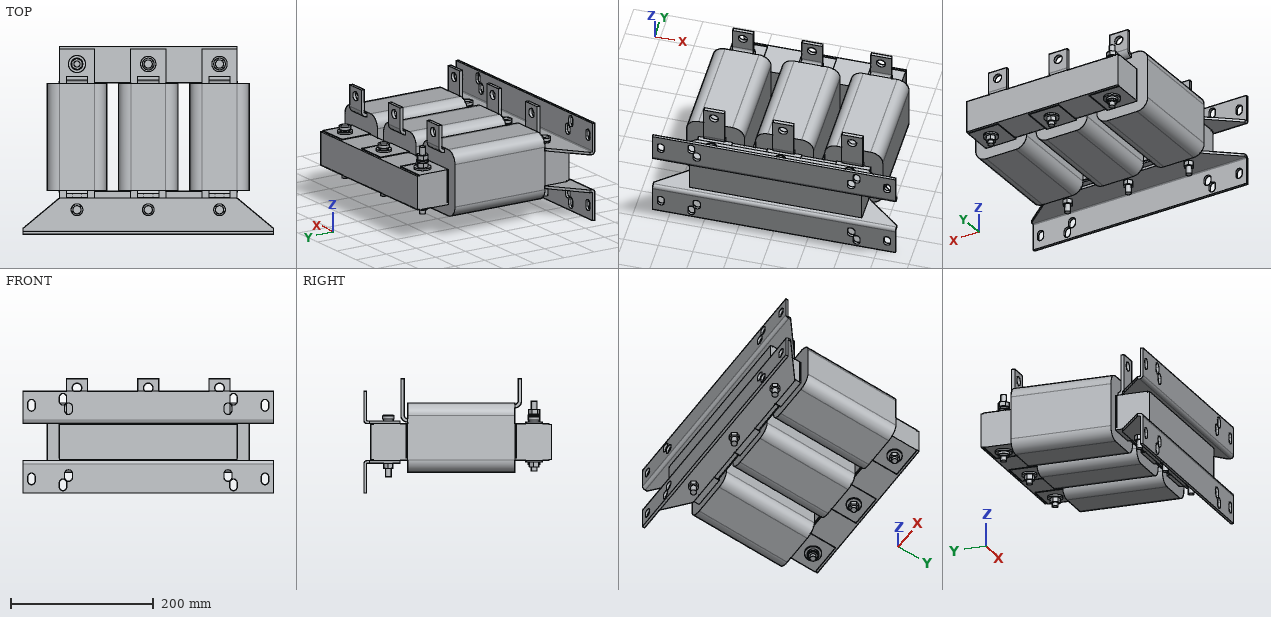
import cadquery as cq
import math


core_depth = 254.0
core_height = 49.5
limb_width = 49.5
limb_pitch = 100.0
core_width = 2 * limb_pitch + limb_width
yoke_depth = 49.5
limb_positions = (-limb_pitch, 0.0, limb_pitch)
core_top = core_height / 2

strip_thickness = 1.6
strip_overhang = 0.2
strip_lift = 2.5

strap_thickness = 1.0
strap_end_margin = 3.7
strap_top = core_top + strap_thickness

coil_width = 84.0
coil_length = 150.5
coil_bottom = -42.5
coil_top = 55.0
coil_corner_radius = 17.5
coil_middle_y = core_depth / 2

terminal_width = 30.0
terminal_thickness = 5.0
terminal_inner_radius = 4.5
terminal_outer_radius = terminal_inner_radius + terminal_thickness
terminal_top = 89.0
terminal_hole_diameter = 13.0
terminal_hole_z = 76.0
rear_bend_z = 57.5
front_bend_z = 37.5

bracket_length = 352.0
bracket_thickness = 4.0
bracket_front_y = -9.7
bracket_rear_y = 41.3
bracket_square_end_y = -1.5
bracket_inner_radius = 1.0
bracket_outer_radius = bracket_inner_radius + bracket_thickness
bracket_outer_z = 71.5
bracket_face = strap_top + bracket_thickness

flange_slots = (
    (163.8, 51.6, 10.0, 16.0),
    (119.6, 60.0, 10.0, 16.0),
    (111.8, 46.8, 11.0, 16.0),
)

bolt_diameter = 8.5
head_diameter = 16.5
head_top_diameter = 11.5
head_collar_diameter = 14.0
head_collar_height = 2.4
head_body_height = 4.8
head_crown_height = 1.2
nut_flats = 12.5
nut_height = 7.0
nut_turn = 55.0
front_bolt_y = yoke_depth / 2
rear_bolt_y = core_depth - yoke_depth / 2
front_bolt_end_z = -48.8
rear_bolt_end_z = -40.6
stud_top_z = 57.6
stud_nut_flats = 14.2
stud_nut_height = 6.5
stud_nut_turn = 38.0
stud_nut_face_diameter = 15.5
stud_nut_face_height = 1.2
spring_washer_diameter = 16.5
spring_washer_thickness = 2.4
washer_thickness = 2.5
washer_diameter = 21.5
stud_washer_diameter = 24.0
stud_head_height = 3.4
stud_crown_diameter = 13.8
stud_crown_height = 2.4


def box_between(x_range, y_range, z_range):
    """Axis-aligned block given by its lower and upper limits."""
    sizes = [high - low for low, high in (x_range, y_range, z_range)]
    corner = (x_range[0], y_range[0], z_range[0])
    return cq.Workplane("XY").box(*sizes, centered=False).translate(corner)


def disc(x, y, z_bottom, diameter, height):
    return cq.Workplane("XY", origin=(x, y, z_bottom)).circle(diameter / 2).extrude(height)


def hexagon(x, y, z_bottom, flats, height, turn):
    """Hexagonal nut, turned by an angle in degrees from having two corners along X."""
    corner_diameter = flats / math.cos(math.pi / 6)
    nut = cq.Workplane("XY").polygon(6, corner_diameter).extrude(height)
    return nut.rotate((0, 0, 0), (0, 0, 1), turn).translate((x, y, z_bottom))


def make_core():
    half_width = core_width / 2
    half_limb = limb_width / 2
    rear_yoke_y = core_depth - yoke_depth
    z_range = (-core_top, core_top)
    core = box_between((-half_width, half_width), (0, yoke_depth), z_range)
    core = core.union(box_between((-half_width, half_width), (rear_yoke_y, core_depth), z_range))
    for x in limb_positions:
        core = core.union(box_between((x - half_limb, x + half_limb), (0, core_depth), z_range))
    return core


def make_strips():
    half_width = core_width / 2 + strip_overhang
    z_range = (-core_top + strip_lift, core_top)
    front_y = yoke_depth
    rear_y = core_depth - yoke_depth - strip_thickness
    strips = cq.Workplane("XY")
    for y in (front_y, rear_y):
        strips = strips.union(box_between((-half_width, half_width), (y, y + strip_thickness), z_range))
    return strips


def make_straps(x):
    """One block spans the limb, so that it stands out as a strap above and below the core."""
    x_range = (x - limb_width / 2, x + limb_width / 2)
    y_range = (strap_end_margin, core_depth - strap_end_margin)
    return box_between(x_range, y_range, (-strap_top, strap_top))


def make_coil(x):
    coil_height = coil_top - coil_bottom
    middle = (x, coil_middle_y, (coil_top + coil_bottom) / 2)
    coil = cq.Workplane("XY").box(coil_width, coil_length, coil_height)
    return coil.edges("|Y").fillet(coil_corner_radius).translate(middle)


def make_rear_terminal(x, bend_z):
    """Bar that leaves the rear coil end, turns up through a quarter bend and ends in a holed lug."""
    face_y = coil_middle_y + coil_length / 2
    inner = terminal_inner_radius
    outer = terminal_outer_radius
    diagonal = math.sqrt(0.5)
    profile = (
        cq.Workplane("YZ", origin=(x - terminal_width / 2, face_y, bend_z))
        .moveTo(0, -outer)
        .threePointArc((outer * diagonal, -outer * diagonal), (outer, 0))
        .lineTo(outer, terminal_top - bend_z)
        .lineTo(inner, terminal_top - bend_z)
        .lineTo(inner, 0)
        .threePointArc((inner * diagonal, -inner * diagonal), (0, -inner))
        .close()
    )
    hole = (
        cq.Workplane("XZ", origin=(x, face_y + outer, terminal_hole_z))
        .circle(terminal_hole_diameter / 2)
        .extrude(terminal_thickness)
    )
    return profile.extrude(terminal_width).cut(hole)


def make_front_terminal(x, bend_z):
    return make_rear_terminal(x, bend_z).mirror("XZ", (0, coil_middle_y, 0))


def make_upper_bracket():
    """Angle bracket whose horizontal leg tapers back to the core width, with a slotted front flange."""
    half_length = bracket_length / 2
    inner = bracket_inner_radius
    outer = bracket_outer_radius
    flange_back_y = bracket_front_y + bracket_thickness
    angle = (
        cq.Workplane("YZ", origin=(-half_length, 0, 0))
        .moveTo(bracket_rear_y, strap_top)
        .lineTo(bracket_front_y + outer, strap_top)
        .radiusArc((bracket_front_y, strap_top + outer), outer)
        .lineTo(bracket_front_y, bracket_outer_z)
        .lineTo(flange_back_y, bracket_outer_z)
        .lineTo(flange_back_y, bracket_face + inner)
        .radiusArc((flange_back_y + inner, bracket_face), -inner)
        .lineTo(bracket_rear_y, bracket_face)
        .close()
        .extrude(bracket_length)
    )
    plan = (
        cq.Workplane("XY")
        .polyline([
            (-half_length, bracket_front_y),
            (half_length, bracket_front_y),
            (half_length, bracket_square_end_y),
            (core_width / 2, bracket_rear_y),
            (-core_width / 2, bracket_rear_y),
            (-half_length, bracket_square_end_y),
        ])
        .close()
        .extrude(bracket_outer_z)
    )
    bracket = angle.intersect(plan)
    for distance, height, width, length in flange_slots:
        slots = (
            cq.Workplane("XZ", origin=(0, flange_back_y, 0))
            .pushPoints([(-distance, height), (distance, height)])
            .slot2D(length, width, 90)
            .extrude(bracket_thickness)
        )
        bracket = bracket.cut(slots)
    return bracket


def make_button_head(x, y, z_bottom):
    """Round head on a narrower collar, with a sloping crown."""
    body_z = z_bottom + head_collar_height
    crown_z = body_z + head_body_height
    collar = disc(x, y, z_bottom, head_collar_diameter, head_collar_height)
    body = disc(x, y, body_z, head_diameter, head_body_height)
    crown = (
        cq.Workplane("XY", origin=(x, y, crown_z))
        .circle(head_diameter / 2)
        .workplane(offset=head_crown_height)
        .circle(head_top_diameter / 2)
        .loft()
    )
    return collar.union(body).union(crown)


def make_front_bolt(x):
    """Bolt that clamps both brackets: button head on top, nut below."""
    y = front_bolt_y
    shank = disc(x, y, front_bolt_end_z, bolt_diameter, bracket_face - front_bolt_end_z)
    nut = hexagon(x, y, -bracket_face - nut_height, nut_flats, nut_height, nut_turn)
    return shank.union(nut).union(make_button_head(x, y, bracket_face))


def make_rear_bolt(x):
    """Core bolt with a washer at each end, a button head on top and a nut below."""
    y = rear_bolt_y
    washer_face = strap_top + washer_thickness
    shank = disc(x, y, rear_bolt_end_z, bolt_diameter, washer_face - rear_bolt_end_z)
    washers = disc(x, y, -washer_face, washer_diameter, 2 * washer_face)
    nut = hexagon(x, y, -washer_face - nut_height, nut_flats, nut_height, nut_turn)
    return shank.union(washers).union(nut).union(make_button_head(x, y, washer_face))


def make_earth_stud(x):
    """Long core stud with a stepped round head below and two nuts, parted by a spring washer, on top."""
    y = rear_bolt_y
    washer_face = strap_top + washer_thickness
    stud = disc(x, y, rear_bolt_end_z, bolt_diameter, stud_top_z - rear_bolt_end_z)
    stud = stud.union(disc(x, y, -washer_face, stud_washer_diameter, 2 * washer_face))

    head_z = -washer_face - stud_head_height
    stud = stud.union(disc(x, y, head_z, head_diameter, stud_head_height))
    stud = stud.union(disc(x, y, head_z - stud_crown_height, stud_crown_diameter, stud_crown_height))

    lower_face_z = washer_face + stud_nut_height
    spring_washer_z = lower_face_z + stud_nut_face_height
    upper_face_z = spring_washer_z + spring_washer_thickness
    upper_nut_z = upper_face_z + stud_nut_face_height
    for z in (washer_face, upper_nut_z):
        stud = stud.union(hexagon(x, y, z, stud_nut_flats, stud_nut_height, stud_nut_turn))
    for z in (lower_face_z, upper_face_z):
        stud = stud.union(disc(x, y, z, stud_nut_face_diameter, stud_nut_face_height))
    return stud.union(disc(x, y, spring_washer_z, spring_washer_diameter, spring_washer_thickness))


result = make_core().union(make_strips())
for limb_x in limb_positions:
    result = result.union(make_straps(limb_x))
    result = result.union(make_coil(limb_x))
    result = result.union(make_rear_terminal(limb_x, rear_bend_z))
    result = result.union(make_front_terminal(limb_x, front_bend_z))

upper_bracket = make_upper_bracket()
result = result.union(upper_bracket).union(upper_bracket.mirror("XY"))

for limb_x in limb_positions:
    result = result.union(make_front_bolt(limb_x))
result = result.union(make_earth_stud(limb_positions[0]))
for limb_x in limb_positions[1:]:
    result = result.union(make_rear_bolt(limb_x))